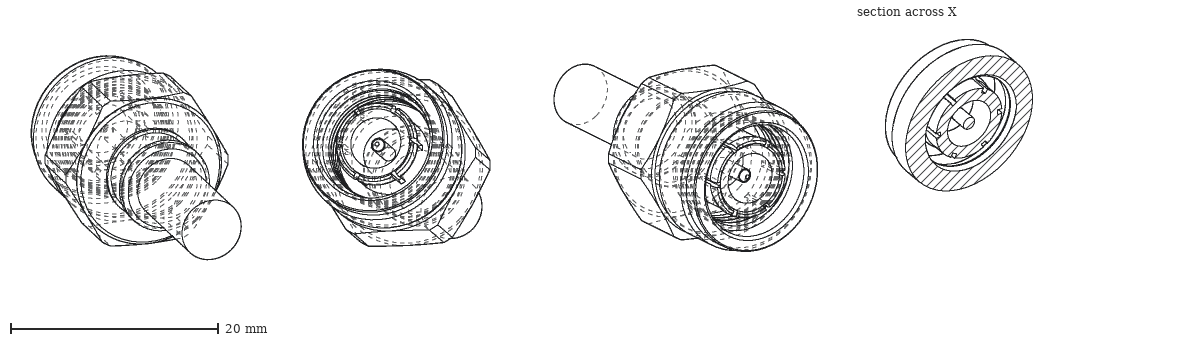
import cadquery as cq
import math

total_length = 32.3

collar_radius = 7.05
mouth_edge_chamfer = 0.13
band_radius = 7.43
band_start = 1.5
band_end = 6.2
band_chamfer = band_radius - collar_radius

hex_sides = 6
hex_across_flats = 2 * band_radius
hex_corner_diameter = 16.65
hex_corner_radius = hex_corner_diameter / 2
hex_start = 7.25
hex_end = 14.25
hex_chamfer_angle = 30.0
hex_chamfer_length = (hex_corner_radius - band_radius) * math.tan(math.radians(hex_chamfer_angle))
nut_end = 14.63
nut_back_chamfer = 0.32

body_flange_radius = 4.5
body_flange_end = 15.0
body_radius = 4.15
bead_start = 17.83
bead_end = 19.55
bead_front_length = 0.5
bead_back_chamfer = 0.5
tube_radius = 3.05

mouth_radius = 5.9
bore_radius = 5.6
bore_lead_in = mouth_radius - bore_radius
bore_depth = 2.42
thread_crest_radius = 5.07
thread_bore_start = bore_depth + bore_radius - thread_crest_radius
thread_root_radius = 5.5
thread_pitch = 0.9
thread_groove_width = 0.78
thread_groove_start = bore_depth
thread_turns = 4
thread_overlap = 0.05
thread_start_angle = -70.0
cavity_depth = 7.1

sleeve_tip = 0.95
sleeve_neck_radius = 3.85
sleeve_bulge_radius = 4.05
sleeve_bulge_end = 2.25
sleeve_mouth_radius = 3.55
sleeve_inner_radius = 3.35
slot_count = 6
slot_width = 0.5
slot_end = 4.52

insulator_face = 1.15
insulator_bore_radius = 2.5
insulator_bore_depth = 6.45
pin_radius = 0.68
pin_tip_radius = 0.2
pin_tip = 1.68
pin_cone_radius = 0.58
pin_cone_length = 0.5


def turned(points):
    """Solid of revolution about X from a closed outline of (x, radius) points."""
    return cq.Workplane("XY").polyline(points).close().revolve(360, (0, 0, 0), (1, 0, 0))


def nut_and_body():
    """Round outside of the connector, from the mouth to the end of the cable tube."""
    return turned([
        (0, 0),
        (0, collar_radius - mouth_edge_chamfer),
        (mouth_edge_chamfer, collar_radius),
        (band_start, collar_radius),
        (band_start + band_chamfer, band_radius),
        (band_end - band_chamfer, band_radius),
        (band_end, collar_radius),
        (hex_start, collar_radius),
        (hex_start, band_radius),
        (nut_end - nut_back_chamfer, band_radius),
        (nut_end, band_radius - nut_back_chamfer),
        (nut_end, body_flange_radius),
        (body_flange_end, body_flange_radius),
        (body_flange_end, body_radius),
        (bead_start, body_radius),
        (bead_start + bead_front_length, body_flange_radius),
        (bead_end - bead_back_chamfer, body_flange_radius),
        (bead_end, body_flange_radius - bead_back_chamfer),
        (bead_end, tube_radius),
        (total_length, tube_radius),
        (total_length, 0),
    ])


def hexagon():
    """Wrench hexagon with corners along Y, trimmed by a turned blank with conical ends."""
    across_corners = hex_across_flats / math.cos(math.pi / hex_sides)
    prism = (
        cq.Workplane("YZ")
        .workplane(offset=hex_start)
        .polygon(hex_sides, across_corners)
        .extrude(hex_end - hex_start)
    )
    blank = turned([
        (hex_start, 0),
        (hex_start, band_radius),
        (hex_start + hex_chamfer_length, hex_corner_radius),
        (hex_end - hex_chamfer_length, hex_corner_radius),
        (hex_end, band_radius),
        (hex_end, 0),
    ])
    return prism.intersect(blank)


def nut_cavity():
    """Space inside the nut: lead-in, plain bore and the bore to be threaded."""
    return turned([
        (0, 0),
        (0, mouth_radius),
        (bore_lead_in, bore_radius),
        (bore_depth, bore_radius),
        (thread_bore_start, thread_crest_radius),
        (cavity_depth, thread_crest_radius),
        (cavity_depth, 0),
    ])


def thread_groove():
    """Right-hand helical V groove that cuts the thread into the wall of the cavity."""
    inner_radius = thread_crest_radius - thread_overlap
    flank_slope = thread_groove_width / 2 / (thread_root_radius - thread_crest_radius)
    half_width = flank_slope * (thread_root_radius - inner_radius)
    helix = cq.Wire.makeHelix(
        thread_pitch,
        thread_pitch * thread_turns,
        thread_root_radius,
        center=cq.Vector(thread_groove_start, 0, 0),
        dir=cq.Vector(1, 0, 0),
    )
    start = helix.startPoint()
    outward = cq.Vector(0, start.y, start.z).normalized()
    tooth_plane = cq.Plane(
        origin=(thread_groove_start, 0, 0),
        xDir=(1, 0, 0),
        normal=cq.Vector(1, 0, 0).cross(outward).toTuple(),
    )
    groove = (
        cq.Workplane(tooth_plane)
        .polyline([
            (-half_width, inner_radius),
            (0, thread_root_radius),
            (half_width, inner_radius),
        ])
        .close()
        .sweep(cq.Workplane(obj=helix), isFrenet=True)
    )
    return groove.rotate((0, 0, 0), (1, 0, 0), thread_start_angle)


def contact_sleeve():
    """Spring sleeve with a rounded bulge behind its tip, split into fingers by radial slots."""
    sleeve = (
        cq.Workplane("XY")
        .moveTo(insulator_face, sleeve_inner_radius)
        .lineTo(sleeve_tip, sleeve_mouth_radius)
        .lineTo(sleeve_tip, sleeve_neck_radius)
        .threePointArc(
            ((sleeve_tip + sleeve_bulge_end) / 2, sleeve_bulge_radius),
            (sleeve_bulge_end, sleeve_neck_radius),
        )
        .lineTo(cavity_depth, sleeve_neck_radius)
        .lineTo(cavity_depth, sleeve_inner_radius)
        .close()
        .revolve(360, (0, 0, 0), (1, 0, 0))
    )
    slot = cq.Workplane("XY").box(
        slot_end, sleeve_bulge_radius + slot_width, slot_width, centered=(False, False, True)
    )
    for index in range(slot_count):
        sleeve = sleeve.cut(slot.rotate((0, 0, 0), (1, 0, 0), index * 360 / slot_count))
    return sleeve


def insulator():
    """Insulating tube that fills the sleeve, open at the front."""
    return turned([
        (insulator_face, insulator_bore_radius),
        (insulator_face, sleeve_inner_radius),
        (cavity_depth, sleeve_inner_radius),
        (cavity_depth, 0),
        (insulator_bore_depth, 0),
        (insulator_bore_depth, insulator_bore_radius),
    ])


def centre_pin():
    """Centre contact with a blunt conical tip set back on a small shoulder."""
    return turned([
        (pin_tip, 0),
        (pin_tip, pin_tip_radius),
        (pin_tip + pin_cone_length, pin_cone_radius),
        (pin_tip + pin_cone_length, pin_radius),
        (cavity_depth, pin_radius),
        (cavity_depth, 0),
    ])


shell = nut_and_body().union(hexagon()).cut(nut_cavity()).cut(thread_groove())
contacts = contact_sleeve().union(insulator()).union(centre_pin())
result = shell.union(contacts)